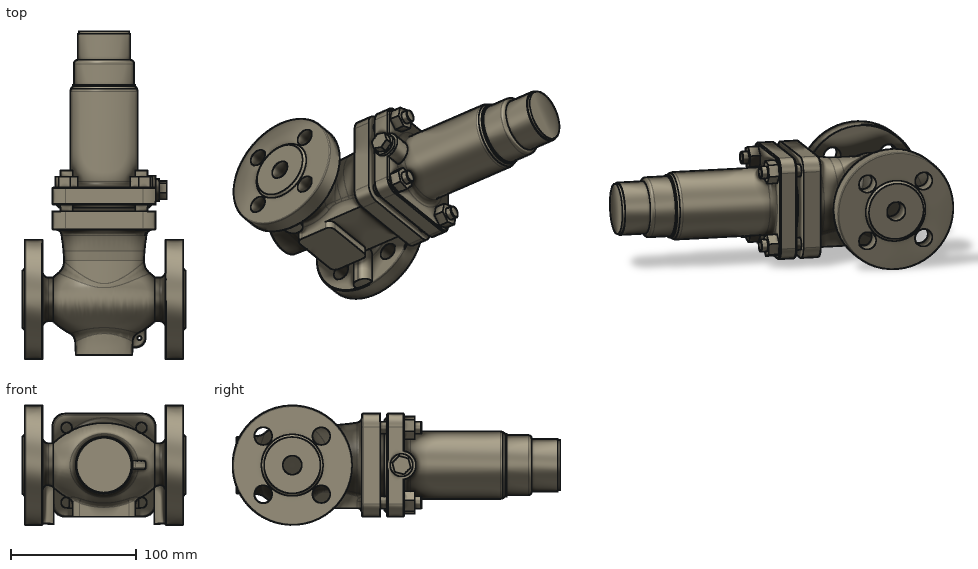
import cadquery as cq
import math


overall_length = 260.5
overall_width = 130.0

flange_radius = 95.0 / 2
flange_outer_x = 63.0
flange_inner_x = 48.7
flange_edge_round = 0.8
raised_face_x = overall_width / 2
raised_face_base_radius = 24.5
raised_face_radius = 22.5
flange_hole_diameter = 14.0
flange_hole_circle = 65.0
flange_hole_count = 4
bore_diameter = 15.0
bore_depth = 18.2

neck_radius = 17.5
neck_round = 4.5
neck_inner_x = 40.5
globe_radius = 33.5

cap_end_y = -44.5
cap_end_radius = 45.0 / 2
cap_base_radius = 24.5
cap_edge_chamfer = 0.8
cap_blend = 7.8

bonnet_neck_waist_radius = 31.8
bonnet_neck_waist_y = 31.3
bonnet_neck_flare_radius = 32.3
bonnet_neck_flare_y = 38.5
bonnet_neck_top_radius = 33.9
bonnet_neck_round = 4.2
bonnet_neck_blend = 11.7

square_side = 82.0
square_corner_radius = 10.5
body_flange_bottom_y = 55.2
body_flange_top_y = 69.8
body_flange_round = 1.3
cover_bottom_y = 75.0
cover_top_y = 89.0
cover_chamfer = 1.0
spigot_radius = 25.0
lip_top_radius = 37.8
lip_bottom_radius = 35.7
lip_height = 2.0

stud_offset = 29.7
stud_diameter = 10.0
stud_end_diameter = 8.5
stud_end_height = 0.3
stud_top_y = 102.6
stud_chamfer = 0.5
nut_corner_diameter = 18.5
nut_top_y = 97.5
nut_turn = 48.0

housing_radius = 54.0 / 2
housing_foot_round = 4.7
housing_shoulder_y = 165.2
housing_bevel_radius = 26.3
housing_bevel_y = 167.2
housing_rim_radius = 50.0 / 2
housing_rim_start_y = 169.0
housing_rim_end_y = 170.4
sleeve_radius = 48.0 / 2
sleeve_end_y = 190.2
knob_radius = 42.0 / 2
sleeve_round = sleeve_radius - knob_radius
knob_end_y = 210.7
tip_radius = 40.0 / 2
tip_end_y = overall_length - flange_radius

plug_y = 86.7
plug_boss_radius = 11.5
plug_boss_start_x = 27.4
plug_washer_diameter = 18.0
plug_washer_end_x = 43.8
plug_hex_corner_diameter = 15.0
plug_hex_turn = 45.0
plug_end_x = 50.0

lug_thickness = 6.8
lug_center_x = 25.0
lug_center_y = -30.2
lug_radius = 8.0
lug_inner_x = 15.5
lug_top_y = -19.5
lug_round = 1.5
lug_hole_diameter = 3.0
lug_hole_x = 28.1
lug_hole_y = -30.7

foot_bottom_z = -square_side / 2
foot_half_width = 25.0
foot_front_y = -13.0
foot_rear_y = 20.8
foot_round = 5.2
rib_bottom_z = -34.5
foot_blend = 4.0
foot_blend_highest_z = -13.0
leg_inner_x = 39.9
leg_half_depth = 7.8
leg_bottom_z = -47.5
leg_round = 7.3


def revolve_about_y(profile):
    """Revolve a closed profile drawn as (radius, y) about the Y axis."""
    return profile.close().revolve(360, (0, 0, 0), (0, 1, 0))


def y_plane(y):
    """Plane facing +Y at the given height; local x is Z and local y is X."""
    return cq.Workplane("ZX", origin=(0, y, 0))


def cylinder_y(radius, start_y, end_y):
    return y_plane(start_y).circle(radius).extrude(end_y - start_y)


def block(x0, x1, y0, y1, z0, z1):
    return cq.Workplane("XY").box(x1 - x0, y1 - y0, z1 - z0, centered=False).translate((x0, y0, z0))


def hexagon(corner_diameter, turn):
    """Corner points of a hexagon whose first corner sits at angle `turn`."""
    radius = corner_diameter / 2
    angles = [math.radians(turn + 60 * i) for i in range(6)]
    return [(radius * math.cos(a), radius * math.sin(a)) for a in angles]


def globe():
    """Barrel-shaped body with the pipe necks, flared where they meet the flanges."""
    diagonal = math.sqrt(0.5)
    flare_x = flange_inner_x - neck_round
    flare_y = neck_radius + neck_round
    flare_mid = (flare_x + neck_round * diagonal, flare_y - neck_round * diagonal)
    return (
        cq.Workplane("XY")
        .moveTo(-flange_inner_x, 0)
        .lineTo(-flange_inner_x, flare_y)
        .threePointArc((-flare_mid[0], flare_mid[1]), (-flare_x, neck_radius))
        .lineTo(-neck_inner_x, neck_radius)
        .threePointArc((0, globe_radius), (neck_inner_x, neck_radius))
        .lineTo(flare_x, neck_radius)
        .threePointArc(flare_mid, (flange_inner_x, flare_y))
        .lineTo(flange_inner_x, 0)
        .close()
        .revolve(360, (0, 0, 0), (1, 0, 0))
    )


def bonnet_neck():
    """Neck flaring slightly from the globe up to the body flange."""
    start_round_y = body_flange_bottom_y - bonnet_neck_round
    diagonal = math.sqrt(0.5)
    round_mid = (
        bonnet_neck_top_radius + bonnet_neck_round * (1 - diagonal),
        start_round_y + bonnet_neck_round * diagonal,
    )
    profile = (
        cq.Workplane("XY")
        .lineTo(bonnet_neck_waist_radius, 0)
        .lineTo(bonnet_neck_waist_radius, bonnet_neck_waist_y)
        .lineTo(bonnet_neck_flare_radius, bonnet_neck_flare_y)
        .tangentArcPoint((bonnet_neck_top_radius, start_round_y), relative=False)
        .threePointArc(round_mid, (bonnet_neck_top_radius + bonnet_neck_round, body_flange_bottom_y))
        .lineTo(0, body_flange_bottom_y)
    )
    return revolve_about_y(profile)


def cap():
    profile = (
        cq.Workplane("XY")
        .lineTo(cap_base_radius, 0)
        .lineTo(cap_end_radius, cap_end_y + cap_edge_chamfer)
        .lineTo(cap_end_radius - cap_edge_chamfer, cap_end_y)
        .lineTo(0, cap_end_y)
    )
    return revolve_about_y(profile)


def valve_body():
    """Globe blended into the cap and the bonnet neck along their curved intersections."""
    body = globe().union(cap()).edges("%BSPLINE").fillet(cap_blend)
    return body.union(bonnet_neck()).edges("%BSPLINE").edges(">Y").fillet(bonnet_neck_blend)


def pipe_flange():
    """Flange on the +X side with its raised face and bolt holes."""
    disc = (
        cq.Workplane("YZ", origin=(flange_inner_x, 0, 0))
        .circle(flange_radius)
        .extrude(flange_outer_x - flange_inner_x)
        .edges()
        .fillet(flange_edge_round)
    )
    face_height = raised_face_x - flange_outer_x
    raised_face = (
        cq.Workplane("YZ", origin=(flange_outer_x, 0, 0))
        .circle(raised_face_base_radius)
        .workplane(offset=face_height)
        .circle(raised_face_radius)
        .loft()
    )
    holes = (
        cq.Workplane("YZ", origin=(flange_inner_x, 0, 0))
        .polarArray(flange_hole_circle / 2, 180 / flange_hole_count, 360, flange_hole_count)
        .circle(flange_hole_diameter / 2)
        .extrude(flange_outer_x - flange_inner_x)
    )
    return disc.cut(holes).union(raised_face)


def pipe_bore():
    return cq.Workplane("YZ", origin=(raised_face_x, 0, 0)).circle(bore_diameter / 2).extrude(-bore_depth)


def square_plate(bottom_y, top_y):
    plate = y_plane(bottom_y).rect(square_side, square_side).extrude(top_y - bottom_y)
    return plate.edges("|Y").fillet(square_corner_radius)


def bonnet_flanges():
    """Body flange, spigot with its conical lip, and cover flange."""
    body_flange = square_plate(body_flange_bottom_y, body_flange_top_y)
    body_flange = body_flange.faces("<Y").edges().fillet(body_flange_round)
    cover = square_plate(cover_bottom_y, cover_top_y).faces("<Y or >Y").edges().chamfer(cover_chamfer)
    spigot = cylinder_y(spigot_radius, body_flange_top_y, cover_bottom_y)
    lip = (
        y_plane(cover_bottom_y - lip_height)
        .circle(lip_bottom_radius)
        .workplane(offset=lip_height)
        .circle(lip_top_radius)
        .loft()
    )
    return body_flange.union(spigot).union(lip).union(cover)


def stud_and_nut():
    """Stud and nut at the (+X, +Z) corner of the square flanges."""
    end_y = body_flange_bottom_y - stud_end_height
    stud = cylinder_y(stud_diameter / 2, body_flange_top_y, stud_top_y).faces(">Y").chamfer(stud_chamfer)
    stud_end = cylinder_y(stud_end_diameter / 2, end_y, body_flange_top_y)
    nut = y_plane(cover_top_y).polyline(hexagon(nut_corner_diameter, nut_turn)).close()
    nut = nut.extrude(nut_top_y - cover_top_y)
    return stud.union(stud_end).union(nut).translate((stud_offset, 0, stud_offset))


def spring_housing():
    """Stepped tube on the cover, closed at its +Y end."""
    foot_end_y = cover_top_y + housing_foot_round
    foot_radius = housing_radius + housing_foot_round
    rounding = 1 - math.sqrt(0.5)
    profile = (
        cq.Workplane("XY")
        .moveTo(0, cover_bottom_y)
        .lineTo(foot_radius, cover_bottom_y)
        .lineTo(foot_radius, cover_top_y)
        .threePointArc(
            (housing_radius + housing_foot_round * rounding, cover_top_y + housing_foot_round * rounding),
            (housing_radius, foot_end_y),
        )
        .lineTo(housing_radius, housing_shoulder_y)
        .lineTo(housing_bevel_radius, housing_bevel_y)
        .lineTo(housing_rim_radius, housing_rim_start_y)
        .lineTo(housing_rim_radius, housing_rim_end_y)
        .lineTo(sleeve_radius, housing_rim_end_y)
        .lineTo(sleeve_radius, sleeve_end_y - sleeve_round)
        .threePointArc(
            (sleeve_radius - sleeve_round * rounding, sleeve_end_y - sleeve_round * rounding),
            (knob_radius, sleeve_end_y),
        )
        .lineTo(knob_radius, knob_end_y)
        .lineTo(tip_radius, knob_end_y)
        .lineTo(tip_radius, tip_end_y)
        .lineTo(0, tip_end_y)
    )
    return revolve_about_y(profile)


def vent_plug():
    """Round boss, washer and hexagon head on the +X side of the cover."""
    boss = cq.Workplane("YZ", origin=(plug_boss_start_x, plug_y, 0)).circle(plug_boss_radius)
    boss = boss.extrude(square_side / 2 - plug_boss_start_x)
    washer = boss.faces(">X").workplane().circle(plug_washer_diameter / 2)
    washer = washer.extrude(plug_washer_end_x - square_side / 2)
    head = washer.faces(">X").workplane().polyline(hexagon(plug_hex_corner_diameter, plug_hex_turn)).close()
    return head.extrude(plug_end_x - plug_washer_end_x)


def seal_lug():
    """Rounded lug with a small hole for sealing wire."""
    right_x = lug_center_x + lug_radius
    bottom_y = lug_center_y - lug_radius
    diagonal = lug_radius * math.sqrt(0.5)
    lug = (
        cq.Workplane("XY", origin=(0, 0, -lug_thickness / 2))
        .moveTo(lug_inner_x, lug_top_y)
        .lineTo(right_x, lug_top_y)
        .lineTo(right_x, lug_center_y)
        .threePointArc((lug_center_x + diagonal, lug_center_y - diagonal), (lug_center_x, bottom_y))
        .lineTo(lug_inner_x, bottom_y)
        .close()
        .extrude(lug_thickness)
        .faces("<Z or >Z")
        .edges()
        .fillet(lug_round)
    )
    hole = cq.Workplane("XY", origin=(lug_hole_x, lug_hole_y, 0)).circle(lug_hole_diameter / 2)
    return lug.cut(hole.extrude(lug_thickness / 2, both=True))


def center_foot():
    """Foot under the globe with a shallower rib running back to the body flange."""
    foot = block(-foot_half_width, foot_half_width, foot_front_y, foot_rear_y, foot_bottom_z, 0)
    foot = foot.edges("|Z").fillet(foot_round)
    rib = block(-foot_half_width, foot_half_width, 0, body_flange_bottom_y, rib_bottom_z, 0)
    return foot.union(rib)


def body_on_foot(body):
    """Add the center foot and blend the seam where its walls run into the body."""
    margin = 0.3
    seam = cq.selectors.BoxSelector(
        (-foot_half_width - margin, foot_front_y - margin, rib_bottom_z - margin),
        (foot_half_width + margin, body_flange_bottom_y + margin, foot_blend_highest_z),
        boundingbox=True,
    )
    return body.union(center_foot()).edges(seam).edges("not <Z").fillet(foot_blend)


def flange_leg():
    """Leg under the +X neck, against the inner flange face."""
    leg = block(leg_inner_x, flange_inner_x, -leg_half_depth, leg_half_depth, leg_bottom_z, 0)
    leg = leg.edges("|Z and <X").fillet(leg_round)
    inside_flange = cq.Workplane("YZ").circle(flange_radius - flange_edge_round).extrude(flange_inner_x)
    return leg.intersect(inside_flange)


result = body_on_foot(valve_body().union(bonnet_flanges()))

for pipe_part in (pipe_flange(), flange_leg()):
    result = result.union(pipe_part).union(pipe_part.mirror("YZ"))

bore = pipe_bore()
result = result.cut(bore).cut(bore.mirror("YZ"))

result = result.union(spring_housing()).union(vent_plug()).union(seal_lug())

stud = stud_and_nut()
for corner in range(4):
    result = result.union(stud.rotate((0, 0, 0), (0, 1, 0), 90 * corner))